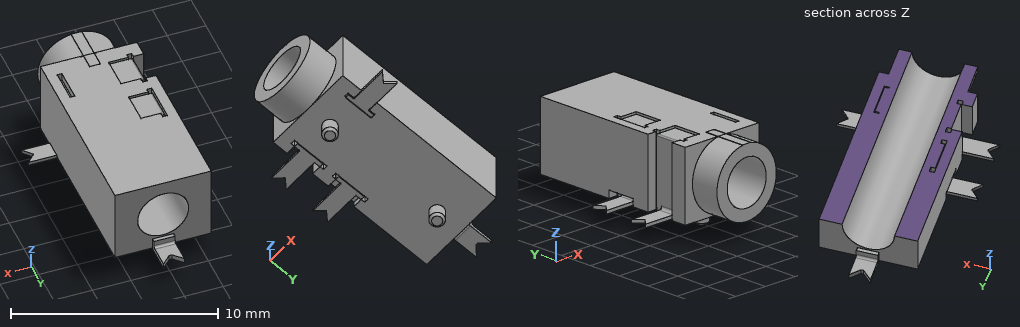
import cadquery as cq

housing_width = 4.99
housing_height = 4.02
housing_front = 1.69
housing_back = 11.73
half_width = housing_width / 2

barrel_radius = housing_height / 2
bore_diameter = 2.63
axis_height = housing_height / 2
key_width = 0.55
key_end = 2.54

peg_diameter = 0.8
peg_length = 0.9
peg_chamfer = 0.13
front_peg_y = 3.13
peg_spacing = 7.0

contact_y_front = 3.41
contact_y_rear = 6.1
plate_width = 1.66
plate_outer_x = 1.94
plate_inner_x = 1.72
flange_end_x = 0.69
flange_recess = 0.13
flange_bend_radius = 0.08
lead_tip_x = 3.98
lead_width = 0.96
lead_thickness = 0.2
lead_drop = 0.08
lead_bend_radius = 0.16
fork_depth = 0.45
plate_thickness = plate_outer_x - plate_inner_x

slot_outer_x = 1.95
opening_shift = 0.03
slot_length = 2.11
window_height = 0.44
right_slot_length = 1.75
right_plate_recess = 0.4

tail_width = 1.1
tail_tip_y = 13.21
tail_thickness = 0.28
tail_upright_height = 0.6
tail_upright_thickness = 0.2
tail_fillet = 0.12
tail_heel = 0.08
tail_fork_depth = 0.49
tail_fork_floor = 0.13


def block(x_range, y_range, z_range):
    """Axis-aligned block between pairs of limits."""
    (x0, x1), (y0, y1), (z0, z1) = x_range, y_range, z_range
    return cq.Workplane("XY").box(x1 - x0, y1 - y0, z1 - z0, centered=False).translate((x0, y0, z0))


def span(center, length):
    """Limits of a length centred on a place."""
    return (center - length / 2, center + length / 2)


def y_cylinder(radius, y_start, y_end):
    """Cylinder along the plug axis."""
    return (
        cq.Workplane("XZ", origin=(0, y_start, axis_height))
        .circle(radius)
        .extrude(y_start - y_end)
    )


def make_housing():
    """Box with a barrel, and a flat key flush with the top of the barrel."""
    full_height = (0, housing_height)
    body = block((-half_width, half_width), (housing_front, housing_back), full_height)
    key_x = span(0, key_width)
    key_slot = block(key_x, (housing_front, key_end), (axis_height, housing_height))
    body = body.cut(key_slot).union(y_cylinder(barrel_radius, 0, key_end))
    key = block(key_x, (0, housing_front), (axis_height, housing_height))
    return body.union(key)


def make_peg(y):
    """Round locating peg under the housing, chamfered at its tip."""
    return (
        cq.Workplane("XY", origin=(0, y, 0))
        .circle(peg_diameter / 2)
        .extrude(-peg_length)
        .faces("<Z")
        .chamfer(peg_chamfer)
    )


def contact_openings(y):
    """Through slot for the plate and recess for the flange on the -X side."""
    slot = block(
        (-slot_outer_x, -plate_inner_x),
        span(y + opening_shift, slot_length),
        (0, housing_height),
    )
    recess = block(
        (-plate_outer_x, -flange_end_x),
        span(y, plate_width),
        (housing_height - flange_recess, housing_height),
    )
    return slot.union(recess)


def side_opening(y, height):
    """Opening in the -X wall, from the underside up to a height."""
    return block((-half_width, -plate_outer_x), span(y + opening_shift, plate_width), (0, height))


def make_lead(y):
    """Lead towards -X with a V-forked tip, curving up into its plate."""
    half_lead = lead_width / 2
    outline = [
        (-plate_inner_x, y - half_lead),
        (-lead_tip_x, y - half_lead),
        (-lead_tip_x + fork_depth, y),
        (-lead_tip_x, y + half_lead),
        (-plate_inner_x, y + half_lead),
    ]
    lead = (
        cq.Workplane("XY", origin=(0, 0, -lead_drop))
        .polyline(outline)
        .close()
        .extrude(lead_thickness)
    )
    lead_top = lead_thickness - lead_drop
    bend = (
        cq.Workplane("XZ", origin=(0, y + half_lead, 0))
        .moveTo(-plate_outer_x, lead_top)
        .lineTo(-plate_outer_x - lead_bend_radius, lead_top)
        .radiusArc((-plate_outer_x, lead_top + lead_bend_radius), -lead_bend_radius)
        .close()
        .extrude(lead_width)
    )
    return lead.union(bend)


def make_plate(y, top):
    """Upright plate on the -X side, standing slightly below the housing."""
    return block((-plate_outer_x, -plate_inner_x), span(y, plate_width), (-lead_drop, top))


def make_left_contact(y):
    """Plate with a rounded bend into a top flange, and its lead."""
    flange_top = housing_height - flange_recess
    flange = block(
        (-plate_outer_x, -flange_end_x),
        span(y, plate_width),
        (flange_top - plate_thickness, flange_top),
    )
    bent_sheet = make_plate(y, flange_top).union(flange)
    bent_sheet = bent_sheet.edges("|Y and >Z and <X").fillet(flange_bend_radius)
    return bent_sheet.union(make_lead(y))


def make_tail():
    """L-shaped terminal on the back wall with a forked, flat-bottomed tip."""
    upright_y = housing_back + tail_upright_thickness
    tail_top = tail_thickness - lead_drop
    tail = (
        cq.Workplane("YZ", origin=(-tail_width / 2, 0, 0))
        .moveTo(housing_back, tail_upright_height)
        .lineTo(upright_y, tail_upright_height)
        .lineTo(upright_y, tail_top + tail_fillet)
        .radiusArc((upright_y + tail_fillet, tail_top), -tail_fillet)
        .lineTo(tail_tip_y, tail_top)
        .lineTo(tail_tip_y, -lead_drop)
        .lineTo(housing_back + tail_heel, -lead_drop)
        .radiusArc((housing_back, tail_heel - lead_drop), tail_heel)
        .close()
        .extrude(tail_width)
    )
    floor_y = tail_tip_y - tail_fork_depth
    fork = (
        cq.Workplane("XY", origin=(0, 0, -lead_drop))
        .moveTo(-tail_width / 2, tail_tip_y)
        .lineTo(-tail_fork_floor / 2, floor_y)
        .lineTo(tail_fork_floor / 2, floor_y)
        .lineTo(tail_width / 2, tail_tip_y)
        .close()
        .extrude(tail_thickness)
    )
    return tail.cut(fork)


result = make_housing()
for contact_y in (contact_y_front, contact_y_rear):
    result = result.cut(contact_openings(contact_y))
result = result.cut(side_opening(contact_y_front, housing_height))
result = result.cut(side_opening(contact_y_rear, window_height))

for contact_y in (contact_y_front, contact_y_rear):
    result = result.union(make_left_contact(contact_y))

right_slot = block(
    (plate_inner_x, slot_outer_x),
    span(contact_y_front, right_slot_length),
    (0, housing_height),
)
right_plate = make_plate(contact_y_front, housing_height - right_plate_recess)
right_contact = right_plate.union(make_lead(contact_y_front)).mirror("YZ")
result = result.cut(right_slot).union(right_contact)

result = result.union(make_tail())
for peg_y in (front_peg_y, front_peg_y + peg_spacing):
    result = result.union(make_peg(peg_y))
result = result.cut(y_cylinder(bore_diameter / 2, 0, housing_back))